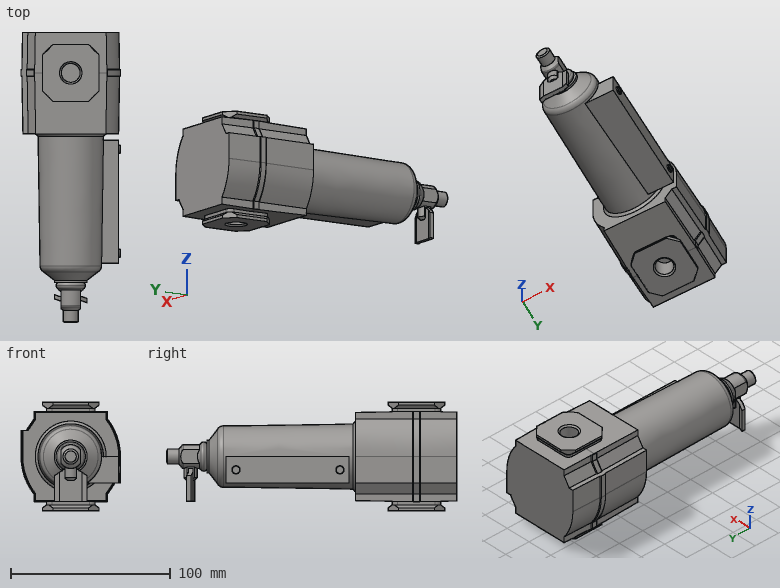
import cadquery as cq
import math


OVERALL_WIDTH = 62.31
OVERALL_LENGTH = 181.5

HEAD_BACK = 25.3
HEAD_FRONT = 38.2
DRAFT = math.tan(math.radians(1.0))
HEAD_HALF_HEIGHT = 28.3
HEAD_NECK_HALF = 22.6
HEAD_HALF_WIDTH = 30.65
SHOULDER_INNER = 27.3
SHOULDER_Z = 16.4
SIDE_CORNER_Z = 23.4

BAND_HALF_TOP = 1.8
BAND_HALF_FOOT = 2.4
BAND_INSET = BAND_HALF_FOOT * DRAFT
BAND_RAISE = OVERALL_WIDTH / 2 - HEAD_HALF_WIDTH + BAND_INSET

PORT_FACE = 34.0
FLANGE_HALF = 17.75
FLANGE_CORNER = 6.5
FLANGE_EDGE = 1.9
NECK_HALF = 15.25
NECK_RADIUS = 3.5
NECK_TOP = 30.2
PORT_DIAMETER = 11.8
PORT_MOUTH = 14.0
PORT_DEPTH = 15.0

COLLAR_RADIUS = 22.2
COLLAR_END = -39.7
BOWL_TOP_RADIUS = 20.5
BOWL_LOW_RADIUS = 19.3
BOWL_WALL_END = -120.7
BOWL_CONE_START = -124.4
BOWL_CONE_RADIUS = 17.1
BOWL_CONE_END = -129.7
BOWL_RIM_RADIUS = 10.3
BOWL_END = -131.1

GAUGE_START = -42.1
GAUGE_END = -119.1
GAUGE_SIDE = 30.0
GAUGE_BOTTOM = -16.6
SCREW_TIP = OVERALL_WIDTH / 2
SCREW_RADIUS = 2.6
SCREW_EDGE = 0.3
SCREW_PLACES = (-47.8, -112.8)

RING_RADIUS = 9.2
RING_ROUND = 1.95
RING_BACK_RADIUS = 8.0
RING_CREST = -132.9
CONE_START = -134.7
CONE_START_RADIUS = RING_RADIUS - (RING_CREST - CONE_START) * math.tan(math.pi / 8)
VALVE_RADIUS = 7.5
VALVE_HALF_FLATS = 6.15
VALVE_FRONT = -145.6
NOSE_RADIUS = 7.13
NOSE_START = -146.5
TIP_RADIUS = 4.8
TIP_START = -148.6
TIP_END = HEAD_BACK - OVERALL_LENGTH
TIP_CHAMFER_LENGTH = 0.6
TIP_CHAMFER_WIDTH = 1.3

LEVER_Y = -141.2
LEVER_BOTTOM = -28.0
LEVER_HALF_THICK = 1.4
LEVER_BEND_X = 6.9
LEVER_HALF_WIDTH = 10.2
LEVER_WING_SHIFT = 1.2
LEVER_SHOULDER_Z = -12.0
LEVER_ROOT_HALF = 3.5
LEVER_ROOT_Z = -7.4
STEM_RADIUS = 4.2
STEM_HALF_FLATS = 3.5
STEM_END = -15.0
STEM_CHAMFER = 1.8


def head_section(y, inset, raise_by=0.0):
    """Closed outline of the head at one place along Y, inset by the draft and widened by raise_by."""
    grow = raise_by - inset
    top = HEAD_HALF_HEIGHT - inset
    neck = HEAD_NECK_HALF + grow
    shoulder = HEAD_HALF_WIDTH + grow
    ledge = SHOULDER_INNER + grow
    plane = cq.Plane(origin=(0, y, 0), xDir=(1, 0, 0), normal=(0, -1, 0))
    outline = (
        cq.Workplane(plane)
        .moveTo(-neck, top)
        .lineTo(-neck, SIDE_CORNER_Z)
        .lineTo(-ledge, SHOULDER_Z)
        .lineTo(-shoulder, SHOULDER_Z)
        .lineTo(-shoulder, 0)
        .tangentArcPoint((-neck, -SIDE_CORNER_Z), relative=False)
        .lineTo(-neck, -top)
        .lineTo(neck, -top)
        .lineTo(neck, -SIDE_CORNER_Z)
        .lineTo(ledge, -SHOULDER_Z)
        .lineTo(shoulder, -SHOULDER_Z)
        .lineTo(shoulder, 0)
        .tangentArcPoint((neck, SIDE_CORNER_Z), relative=False)
        .lineTo(neck, top)
        .close()
    )
    return outline.val()


def head_half(end):
    """Head from the port plane to one end, narrowing with the draft."""
    sections = [head_section(0, 0), head_section(end, abs(end) * DRAFT)]
    return cq.Workplane(cq.Solid.makeLoft(sections, True))


def side_band():
    """Raised band with sloped edges that crosses both sides of the head at the port plane."""
    sections = [
        head_section(-BAND_HALF_FOOT, BAND_INSET),
        head_section(-BAND_HALF_TOP, BAND_INSET, BAND_RAISE),
        head_section(BAND_HALF_TOP, BAND_INSET, BAND_RAISE),
        head_section(BAND_HALF_FOOT, BAND_INSET),
    ]
    return cq.Workplane(cq.Solid.makeLoft(sections, True))


def port_flange():
    """Upper port flange: square neck under a plate with cut corners and a bevelled underside."""
    neck = (
        cq.Workplane("XY")
        .rect(2 * NECK_HALF, 2 * NECK_HALF)
        .extrude(NECK_TOP)
        .edges("|Z")
        .fillet(NECK_RADIUS)
    )
    bevel_width = FLANGE_HALF - NECK_HALF
    bevel_height = PORT_FACE - FLANGE_EDGE - NECK_TOP
    plate = (
        cq.Workplane("XY", origin=(0, 0, NECK_TOP))
        .rect(2 * FLANGE_HALF, 2 * FLANGE_HALF)
        .extrude(PORT_FACE - NECK_TOP)
        .faces("<Z")
        .chamfer(bevel_height, bevel_width)
    )
    octagon = (
        cq.Workplane("XY", origin=(0, 0, NECK_TOP))
        .rect(2 * FLANGE_HALF, 2 * FLANGE_HALF)
        .extrude(PORT_FACE - NECK_TOP)
        .edges("|Z")
        .chamfer(FLANGE_CORNER)
    )
    return neck.union(plate.intersect(octagon))


def port_bore():
    """Blind upper port bore with a chamfered mouth."""
    radius = PORT_DIAMETER / 2
    mouth = PORT_MOUTH / 2
    chamfer = mouth - radius
    return (
        cq.Workplane("XZ")
        .moveTo(0, PORT_FACE)
        .lineTo(mouth, PORT_FACE)
        .lineTo(radius, PORT_FACE - chamfer)
        .lineTo(radius, PORT_FACE - PORT_DEPTH)
        .lineTo(0, PORT_FACE - PORT_DEPTH)
        .close()
        .revolve(360, (0, 0), (0, 1))
    )


def make_head():
    body = head_half(HEAD_BACK).union(head_half(-HEAD_FRONT)).union(side_band())
    for mirrored in (False, True):
        flange = port_flange()
        bore = port_bore()
        if mirrored:
            flange = flange.mirror("XY")
            bore = bore.mirror("XY")
        body = body.union(flange).cut(bore)
    return body


def gauge_screw(y):
    """Screw head standing proud of the gauge housing side."""
    return (
        cq.Workplane("YZ", origin=(GAUGE_SIDE, y, GAUGE_BOTTOM / 2))
        .circle(SCREW_RADIUS)
        .extrude(SCREW_TIP - GAUGE_SIDE)
        .faces(">X")
        .chamfer(SCREW_EDGE)
    )


def make_bowl():
    shell = (
        cq.Workplane("XY")
        .moveTo(0, -HEAD_FRONT)
        .lineTo(COLLAR_RADIUS, -HEAD_FRONT)
        .lineTo(BOWL_TOP_RADIUS, COLLAR_END)
        .lineTo(BOWL_LOW_RADIUS, BOWL_WALL_END)
        .tangentArcPoint((BOWL_CONE_RADIUS, BOWL_CONE_START), relative=False)
        .lineTo(BOWL_RIM_RADIUS, BOWL_CONE_END)
        .lineTo(BOWL_RIM_RADIUS, BOWL_END)
        .lineTo(0, BOWL_END)
        .close()
        .revolve(360, (0, 0), (0, 1))
    )
    gauge = cq.Workplane("XY").box(
        GAUGE_SIDE, GAUGE_START - GAUGE_END, -GAUGE_BOTTOM, centered=False
    ).translate((0, GAUGE_END, GAUGE_BOTTOM))
    bowl = shell.union(gauge)
    for y in SCREW_PLACES:
        bowl = bowl.union(gauge_screw(y))
    return bowl


def valve_ring():
    """Ring against the bowl, rounded around its crest and running into a cone at the front."""
    cone_radius = TIP_RADIUS
    cone_tip = CONE_START - (CONE_START_RADIUS - cone_radius)
    return (
        cq.Workplane("XY")
        .moveTo(0, BOWL_END)
        .lineTo(RING_BACK_RADIUS, BOWL_END)
        .radiusArc((RING_RADIUS, RING_CREST), RING_ROUND)
        .tangentArcPoint((CONE_START_RADIUS, CONE_START), relative=False)
        .lineTo(cone_radius, cone_tip)
        .lineTo(0, cone_tip)
        .close()
        .revolve(360, (0, 0), (0, 1))
    )


def valve_body():
    """Turned valve body with two flat sides, a conical nose and a narrow tip."""
    turned = (
        cq.Workplane("XY")
        .moveTo(0, CONE_START)
        .lineTo(VALVE_RADIUS, CONE_START)
        .lineTo(VALVE_RADIUS, VALVE_FRONT)
        .tangentArcPoint((NOSE_RADIUS, NOSE_START), relative=False)
        .lineTo(TIP_RADIUS, TIP_START)
        .lineTo(TIP_RADIUS, TIP_END + TIP_CHAMFER_LENGTH)
        .lineTo(TIP_RADIUS - TIP_CHAMFER_WIDTH, TIP_END)
        .lineTo(0, TIP_END)
        .close()
        .revolve(360, (0, 0), (0, 1))
    )
    between_flats = cq.Workplane("XY").box(
        2 * VALVE_HALF_FLATS, 2 * OVERALL_LENGTH, 2 * VALVE_RADIUS
    )
    return turned.intersect(between_flats)


def lever_plate():
    """Plate with two wings bent opposite ways and a sloped top running into the stem."""
    back = LEVER_HALF_THICK
    bent = (
        cq.Workplane("XY", origin=(0, LEVER_Y, LEVER_BOTTOM))
        .polyline([
            (-LEVER_HALF_WIDTH, back + LEVER_WING_SHIFT),
            (-LEVER_BEND_X, back),
            (LEVER_BEND_X, back),
            (LEVER_HALF_WIDTH, back - LEVER_WING_SHIFT),
            (LEVER_HALF_WIDTH, -back - LEVER_WING_SHIFT),
            (LEVER_BEND_X, -back),
            (-LEVER_BEND_X, -back),
            (-LEVER_HALF_WIDTH, -back + LEVER_WING_SHIFT),
        ])
        .close()
        .extrude(LEVER_ROOT_Z - LEVER_BOTTOM)
    )
    front_shape = (
        cq.Workplane("XZ", origin=(0, LEVER_Y, 0))
        .polyline([
            (-LEVER_HALF_WIDTH, LEVER_BOTTOM),
            (LEVER_HALF_WIDTH, LEVER_BOTTOM),
            (LEVER_HALF_WIDTH, LEVER_SHOULDER_Z),
            (LEVER_ROOT_HALF, LEVER_ROOT_Z),
            (-LEVER_ROOT_HALF, LEVER_ROOT_Z),
            (-LEVER_HALF_WIDTH, LEVER_SHOULDER_Z),
        ])
        .close()
        .extrude(2 * LEVER_HALF_WIDTH, both=True)
    )
    return bent.intersect(front_shape)


def lever_stem():
    """Round stem with two flat sides and a chamfered lower end."""
    stem = (
        cq.Workplane("XY", origin=(0, LEVER_Y, STEM_END))
        .circle(STEM_RADIUS)
        .extrude(-STEM_END)
        .faces("<Z")
        .chamfer(STEM_CHAMFER)
    )
    sides = (
        cq.Workplane("XY", origin=(0, LEVER_Y, STEM_END))
        .rect(2 * STEM_HALF_FLATS, 2 * STEM_RADIUS)
        .extrude(-STEM_END)
    )
    return stem.intersect(sides)


def make_drain():
    return valve_ring().union(valve_body()).union(lever_stem()).union(lever_plate())


head = make_head()
bowl = make_bowl()
drain = make_drain()

result = cq.Compound.makeCompound([head.solids().val(), bowl.solids().val(), drain.solids().val()])